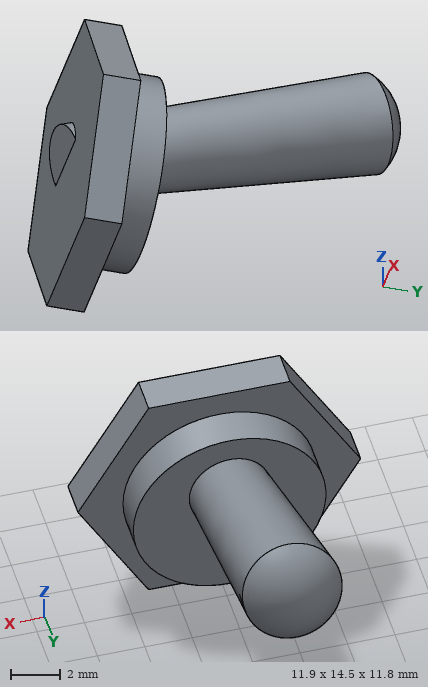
import cadquery as cq
import math

nut_corner_width = 11.92
nut_thickness = 1.57

collar_diameter = 8.12
collar_thickness = 1.6

lever_tilt = 20.0
lever_length = 13.69
lever_root_radius = 1.57
lever_tip_radius = 2.1
dome_height = 1.05


def make_nut():
    """Hexagonal plate with corners pointing along X, extending towards +Y."""
    return cq.Workplane("XZ").polygon(6, nut_corner_width).extrude(-nut_thickness)


def make_collar():
    """Disc seated on the back face of the nut."""
    return (
        cq.Workplane("XZ", origin=(0, nut_thickness, 0))
        .circle(collar_diameter / 2)
        .extrude(-collar_thickness)
    )


def make_lever():
    """Cone with a flat root and a spherical dome, revolved about Y and then tilted."""
    dome_radius = (lever_tip_radius**2 + dome_height**2) / (2 * dome_height)
    dome_centre = lever_length + dome_height - dome_radius
    half_angle = math.asin(lever_tip_radius / dome_radius) / 2
    dome_middle = (
        dome_radius * math.sin(half_angle),
        dome_centre + dome_radius * math.cos(half_angle),
    )
    profile = (
        cq.Workplane("XY")
        .lineTo(lever_root_radius, 0)
        .lineTo(lever_tip_radius, lever_length)
        .threePointArc(dome_middle, (0, lever_length + dome_height))
        .close()
    )
    lever = profile.revolve(360, (0, 0, 0), (0, 1, 0))
    return lever.rotate((0, 0, 0), (1, 0, 0), lever_tilt)


result = make_nut().union(make_collar()).union(make_lever())